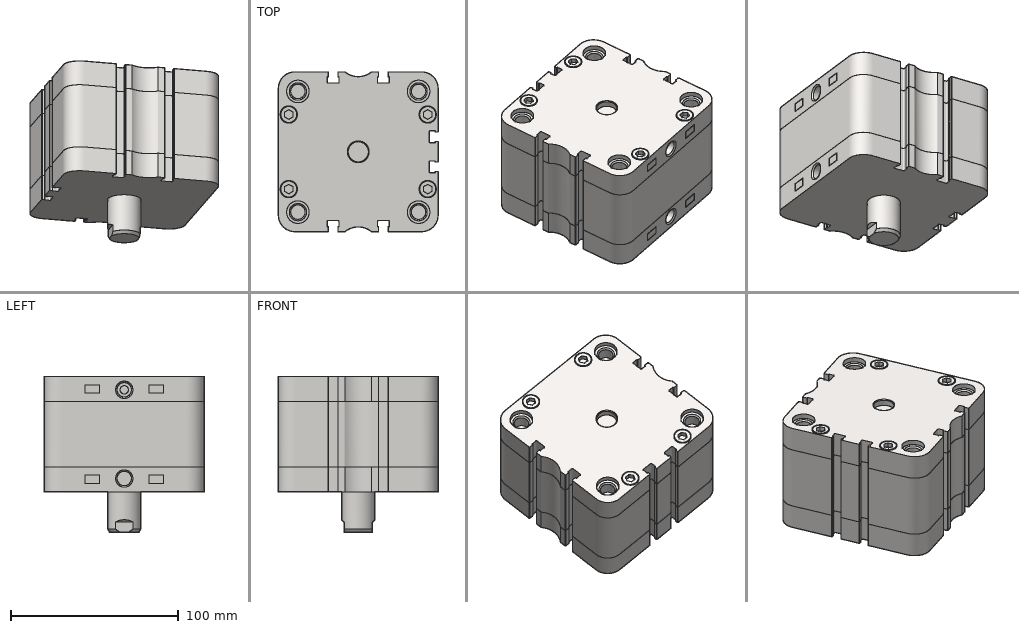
import cadquery as cq
import math

BODY_SIDE = 95.5
HALF_SIDE = BODY_SIDE / 2
CORNER_RADIUS = 10.0
CAP_HEIGHT = 15.0
BARREL_HEIGHT = 39.0
BARREL_BOTTOM = CAP_HEIGHT
BARREL_TOP = BARREL_BOTTOM + BARREL_HEIGHT
BODY_TOP = BARREL_TOP + CAP_HEIGHT

SLOT_NECK_WIDTH = 5.5
SLOT_WIDTH = 7.0
Y_SLOT_SPACING = 30.0
Y_SLOT_NECK_DEPTH = 3.1
Y_SLOT_DEPTH = 6.7
X_SLOT_SPACING = 18.0
X_SLOT_NECK_DEPTH = 1.8
X_SLOT_DEPTH = 5.35
SLOT_LIP_RADIUS = 0.3
SLOT_CORNER_RADIUS = 0.4

HOLLOW_RADIUS = 12.5
HOLLOW_DEPTH = 2.9
HOLLOW_EDGE_RADIUS = 0.6

MOUNT_SPACING = 72.0
MOUNT_COUNTERBORE_DIAMETER = 13.5
MOUNT_COUNTERBORE_DEPTH = 3.0
MOUNT_MOUTH_DIAMETER = 10.3
MOUNT_HOLE_DIAMETER = 8.6
MOUNT_DEPTH = 11.5

SCREW_X_SPACING = 82.9
SCREW_Y_SPACING = 44.5
SCREW_RECESS_DIAMETER = 10.3
SCREW_HEAD_DIAMETER = 9.55
SCREW_GROOVE_DEPTH = 0.4
SCREW_SOCKET_FLATS = 5.0
SCREW_SOCKET_DEPTH = 2.9

CENTRE_MOUTH_DIAMETER = 13.0
CENTRE_HOLE_DIAMETER = 12.0
CENTRE_DEPTH = 4.0

PORT_OFFSET = 8.0
PORT_MOUTH_DIAMETER = 10.3
PORT_DIAMETER = 8.6
UPPER_PORT_DEPTH = 11.5
LOWER_PORT_DEPTH = 6.4
PORT_PASSAGE_DIAMETER = 5.0
PORT_PASSAGE_DEPTH = 19.1

LABEL_SPACING = 38.2
LABEL_WIDTH = 8.4
LABEL_HEIGHT = 5.0
LABEL_DEPTH = 0.2
LABEL_OFFSET = 7.5

ROD_DIAMETER = 20.0
ROD_EXTENSION = 24.1
ROD_CHAMFER_HEIGHT = 1.9
ROD_CHAMFER_WIDTH = 1.1
ROD_FLATS = 17.0
ROD_FLAT_LENGTH = 6.0


def cylinder(diameter, bottom, height):
    return cq.Workplane("XY").workplane(offset=bottom).circle(diameter / 2).extrude(height)


def corners(x_spacing, y_spacing):
    """The four points of a rectangle centred on the Z axis."""
    return [(sx * x_spacing / 2, sy * y_spacing / 2) for sx in (-1, 1) for sy in (-1, 1)]


def countersunk_hole(mouth_diameter, hole_diameter, depth):
    """Cutter for a blind hole with a 45 degree mouth, opening at Z = 0 and running down."""
    mouth_radius = mouth_diameter / 2
    hole_radius = hole_diameter / 2
    return (
        cq.Workplane("XZ")
        .moveTo(0, 0)
        .lineTo(mouth_radius, 0)
        .lineTo(hole_radius, hole_radius - mouth_radius)
        .lineTo(hole_radius, -depth)
        .lineTo(0, -depth)
        .close()
        .revolve(360, (0, 0, 0), (0, 1, 0))
    )


def t_slot(neck_depth, depth, height):
    """Cutter for a T-slot with rounded lips, opening at X = 0 and running toward -X."""
    neck_half = SLOT_NECK_WIDTH / 2
    lip_half = neck_half + SLOT_LIP_RADIUS
    pocket = cq.Workplane("XY").box(depth - neck_depth, SLOT_WIDTH, height, centered=(False, True, False))
    pocket = pocket.translate((-depth, 0, 0)).edges("|Z and <X").fillet(SLOT_CORNER_RADIUS)
    neck = (
        cq.Workplane("XY")
        .moveTo(-neck_depth, -neck_half)
        .lineTo(-SLOT_LIP_RADIUS, -neck_half)
        .radiusArc((0, -lip_half), -SLOT_LIP_RADIUS)
        .lineTo(0, lip_half)
        .radiusArc((-SLOT_LIP_RADIUS, neck_half), -SLOT_LIP_RADIUS)
        .lineTo(-neck_depth, neck_half)
        .close()
        .extrude(height)
    )
    return neck.union(pocket)


def body_section(bottom, height):
    """A slice of the square body with its slots and hollows."""
    section = cq.Workplane("XY").box(BODY_SIDE, BODY_SIDE, height, centered=(True, True, False))
    section = section.edges("|Z").fillet(CORNER_RADIUS)

    x_slot = t_slot(X_SLOT_NECK_DEPTH, X_SLOT_DEPTH, height)
    for y in (-X_SLOT_SPACING / 2, X_SLOT_SPACING / 2):
        section = section.cut(x_slot.translate((HALF_SIDE, y, 0)))

    y_slot = t_slot(Y_SLOT_NECK_DEPTH, Y_SLOT_DEPTH, height)
    hollow = cylinder(2 * HOLLOW_RADIUS, 0, height)
    hollow_centre = HALF_SIDE - HOLLOW_DEPTH + HOLLOW_RADIUS
    for side in (-1, 1):
        turned_slot = y_slot.rotate((0, 0, 0), (0, 0, 1), side * 90)
        for x in (-Y_SLOT_SPACING / 2, Y_SLOT_SPACING / 2):
            section = section.cut(turned_slot.translate((x, side * HALF_SIDE, 0)))
        section = section.cut(hollow.translate((0, side * hollow_centre, 0)))

    return section.translate((0, 0, bottom))


def cut_port(cap, z, depth):
    """Threaded port on the -X side."""
    port = countersunk_hole(PORT_MOUTH_DIAMETER, PORT_DIAMETER, depth)
    return cap.cut(port.rotate((0, 0, 0), (0, 1, 0), -90).translate((-HALF_SIDE, 0, z)))


def cut_port_passage(cap, z):
    """Narrower passage going on from the floor of a port."""
    passage = cylinder(PORT_PASSAGE_DIAMETER, -PORT_PASSAGE_DEPTH, PORT_PASSAGE_DEPTH)
    return cap.cut(passage.rotate((0, 0, 0), (0, 1, 0), -90).translate((-HALF_SIDE, 0, z)))


def cut_labels(cap, z):
    label = cq.Workplane("XY").box(2 * LABEL_DEPTH, LABEL_WIDTH, LABEL_HEIGHT)
    for y in (-LABEL_SPACING / 2, LABEL_SPACING / 2):
        cap = cap.cut(label.translate((-HALF_SIDE, y, z)))
    return cap


def cut_mounting_holes(cap):
    counterbore = cylinder(MOUNT_COUNTERBORE_DIAMETER, -MOUNT_COUNTERBORE_DEPTH, MOUNT_COUNTERBORE_DEPTH)
    hole = countersunk_hole(MOUNT_MOUTH_DIAMETER, MOUNT_HOLE_DIAMETER, MOUNT_DEPTH - MOUNT_COUNTERBORE_DEPTH)
    cutter = counterbore.union(hole.translate((0, 0, -MOUNT_COUNTERBORE_DEPTH)))
    for x, y in corners(MOUNT_SPACING, MOUNT_SPACING):
        cap = cap.cut(cutter.translate((x, y, BODY_TOP)))
    return cap


def cut_screw_heads(cap):
    recess_radius = SCREW_RECESS_DIAMETER / 2
    groove = (
        cq.Workplane("XZ")
        .moveTo(SCREW_HEAD_DIAMETER / 2, 0)
        .lineTo(recess_radius, 0)
        .lineTo(recess_radius, -SCREW_GROOVE_DEPTH)
        .close()
        .revolve(360, (0, 0, 0), (0, 1, 0))
    )
    socket_corners = SCREW_SOCKET_FLATS / math.cos(math.pi / 6)
    socket = cq.Workplane("XY").polygon(6, socket_corners).extrude(-SCREW_SOCKET_DEPTH)
    socket = socket.rotate((0, 0, 0), (0, 0, 1), 90)
    for x, y in corners(SCREW_X_SPACING, SCREW_Y_SPACING):
        cap = cap.cut(groove.translate((x, y, BODY_TOP)))
        cap = cap.cut(socket.translate((x, y, BODY_TOP)))
    return cap


def make_upper_cap():
    cap = body_section(BARREL_TOP, CAP_HEIGHT)
    cap = cut_mounting_holes(cap)
    cap = cut_screw_heads(cap)
    centre_hole = countersunk_hole(CENTRE_MOUTH_DIAMETER, CENTRE_HOLE_DIAMETER, CENTRE_DEPTH)
    cap = cap.cut(centre_hole.translate((0, 0, BODY_TOP)))
    cap = cut_port(cap, BODY_TOP - PORT_OFFSET, UPPER_PORT_DEPTH)
    cap = cut_port_passage(cap, BODY_TOP - PORT_OFFSET)
    return cut_labels(cap, BODY_TOP - LABEL_OFFSET)


def make_barrel():
    barrel = body_section(BARREL_BOTTOM, BARREL_HEIGHT)
    hollow_half_width = math.sqrt(HOLLOW_RADIUS**2 - (HOLLOW_RADIUS - HOLLOW_DEPTH) ** 2)
    middle_z = BARREL_BOTTOM + BARREL_HEIGHT / 2
    for x, y in corners(2 * hollow_half_width, BODY_SIDE):
        edge = cq.selectors.NearestToPointSelector((x, y, middle_z))
        barrel = barrel.edges(edge).fillet(HOLLOW_EDGE_RADIUS)
    return barrel


def make_lower_cap():
    cap = body_section(0, CAP_HEIGHT)
    cap = cap.cut(cylinder(ROD_DIAMETER, 0, CAP_HEIGHT))
    cap = cut_port(cap, PORT_OFFSET, LOWER_PORT_DEPTH)
    return cut_labels(cap, LABEL_OFFSET)


def make_rod():
    """Rod from the underside of the barrel down to its chamfered end."""
    radius = ROD_DIAMETER / 2
    rod_end = -ROD_EXTENSION
    rod = (
        cq.Workplane("XZ")
        .moveTo(0, rod_end)
        .lineTo(radius - ROD_CHAMFER_WIDTH, rod_end)
        .lineTo(radius, rod_end + ROD_CHAMFER_HEIGHT)
        .lineTo(radius, BARREL_BOTTOM)
        .lineTo(0, BARREL_BOTTOM)
        .close()
        .revolve(360, (0, 0, 0), (0, 1, 0))
    )

    flat_x = ROD_FLATS / 2
    flat_top = rod_end + ROD_FLAT_LENGTH
    slope = radius - flat_x
    flat = (
        cq.Workplane("XZ")
        .moveTo(flat_x, rod_end)
        .lineTo(radius, rod_end)
        .lineTo(radius, flat_top + slope)
        .lineTo(flat_x, flat_top)
        .close()
        .extrude(radius, both=True)
    )
    return rod.cut(flat).cut(flat.mirror("YZ"))


upper_cap = make_upper_cap()
barrel = make_barrel()
lower_cap = make_lower_cap()
rod = make_rod()

result = cq.Compound.makeCompound([upper_cap.val(), barrel.val(), lower_cap.val(), rod.val()])